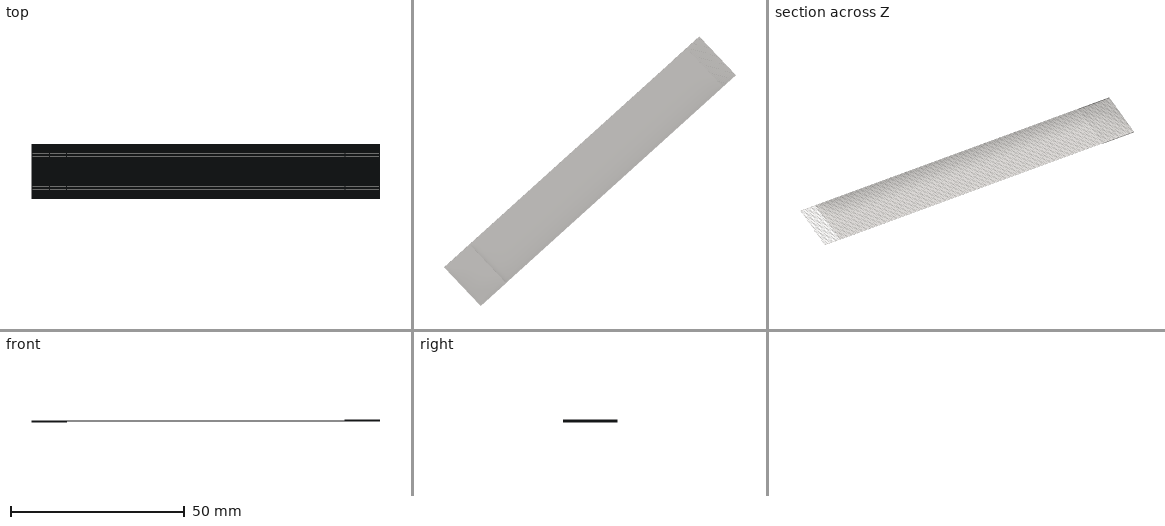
import cadquery as cq


length = 100.0
width = 15.5
thickness = 0.59

channel_count = 30
channel_pitch = 0.5
channel_width = 0.3
channel_height = 0.05

film_thickness = 0.045
bare_length = 5.0
stiffener_length = 10.0
core_thickness = channel_height + 2 * film_thickness
stiffener_thickness = (thickness - core_thickness) / 2

lower_film_z = stiffener_thickness
channel_z = lower_film_z + film_thickness
upper_film_z = channel_z + channel_height
top_stiffener_z = upper_film_z + film_thickness


def layer(x_start, x_end, z_bottom, height):
    """Full-width flat layer between two X positions."""
    return (
        cq.Workplane("XY")
        .box(x_end - x_start, width, height, centered=(False, True, False))
        .translate((x_start, 0, z_bottom))
    )


def channels():
    """Row of straight bars, one for each conductor channel, running the whole length."""
    return (
        cq.Workplane("XY", origin=(length / 2, 0, channel_z))
        .rarray(1, channel_pitch, 1, channel_count)
        .rect(length, channel_width)
        .extrude(channel_height)
    )


ribs = layer(0, length, channel_z, channel_height).cut(channels())

lower_film = layer(0, length - bare_length, lower_film_z, film_thickness)
upper_film = layer(bare_length, length, upper_film_z, film_thickness)

bottom_stiffener = layer(0, stiffener_length, 0, stiffener_thickness)
top_stiffener = layer(length - stiffener_length, length, top_stiffener_z, stiffener_thickness)

result = (
    lower_film.union(ribs)
    .union(upper_film)
    .union(bottom_stiffener)
    .union(top_stiffener)
    .clean()
)